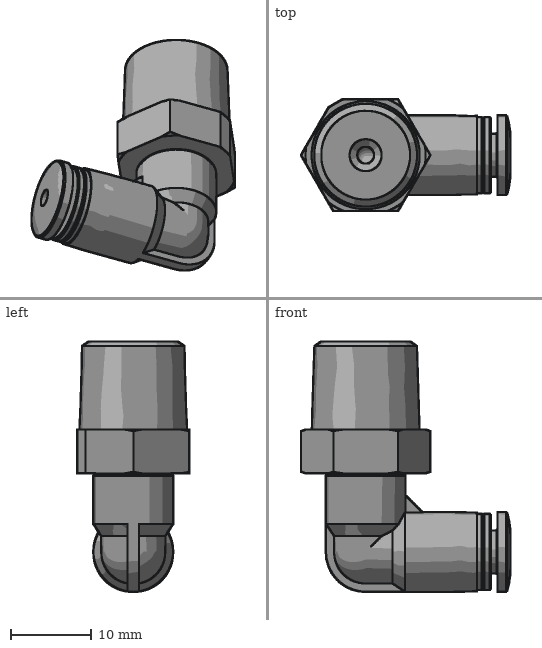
import cadquery as cq
import math


thread_top_z = 26.3
thread_length = 11.0
thread_base_z = thread_top_z - thread_length
thread_chamfer_height = 0.6
thread_top_radius = 5.55
thread_shoulder_radius = 6.42
thread_taper = 1 / 16
thread_base_radius = thread_shoulder_radius + (thread_length - thread_chamfer_height) * thread_taper / 2

hex_height = 5.5
hex_across_flats = 14.0
hex_across_corners = hex_across_flats / math.cos(math.pi / 6)
hex_base_z = thread_base_z - hex_height
hex_chamfer_radius = 7.5
hex_chamfer_angle = math.radians(20)
hex_flattened_corner_angle = 120.0
hex_flattened_corner_distance = 7.5

arm_radius = 10.0 / 2
collar_radius = 9.5 / 2
collar_chamfer = arm_radius - collar_radius
vertical_arm_end = 9.5
vertical_cone_start = 2.0
vertical_arm_start = 3.5
tube_cone_start = 3.37
tube_arm_start = 4.9
tube_arm_end = 10.9
bend_radius = 4.0
web_thickness = 1.4
gusset_leg_end = 7.07

sleeve_end_x = 13.9
sleeve_end_radius = 9.85 / 2
cap_radius = 9.55 / 2
cap_groove_x = 14.66
cap_groove_depth = 0.18
cap_end_x = 15.63
cap_chamfer = 0.18
button_neck_radius = 5.4 / 2
button_start_x = 16.44
button_neck_flare = 0.12
button_radius = 5.0
button_edge_start_x = 17.5
button_edge_chamfer = 0.2
button_end_x = 18.1
button_face_radius = 2.0

passage_radius = 2.1 / 2
countersink_radius = 4.0 / 2
countersink_depth = 0.7


def revolve_about_z(profile):
    """Revolve a closed (radius, z) profile about the Z axis."""
    return profile.close().revolve(360, (0, 0, 0), (0, 1, 0))


def revolve_about_x(profile):
    """Revolve a closed (x, radius) profile about the X axis."""
    return profile.close().revolve(360, (0, 0, 0), (1, 0, 0))


def make_thread():
    profile = (
        cq.Workplane("XZ")
        .moveTo(0, thread_base_z)
        .lineTo(thread_base_radius, thread_base_z)
        .lineTo(thread_shoulder_radius, thread_top_z - thread_chamfer_height)
        .lineTo(thread_top_radius, thread_top_z)
        .lineTo(0, thread_top_z)
    )
    return revolve_about_z(profile)


def make_hexagon():
    prism = (
        cq.Workplane("XY", origin=(0, 0, hex_base_z))
        .polygon(6, hex_across_corners)
        .extrude(hex_height)
    )
    corner_radius = hex_across_corners / 2
    chamfer_drop = (corner_radius - hex_chamfer_radius) * math.tan(hex_chamfer_angle)
    chamfered_disc = revolve_about_z(
        cq.Workplane("XZ")
        .moveTo(0, hex_base_z)
        .lineTo(hex_chamfer_radius, hex_base_z)
        .lineTo(corner_radius, hex_base_z + chamfer_drop)
        .lineTo(corner_radius, thread_base_z - chamfer_drop)
        .lineTo(hex_chamfer_radius, thread_base_z)
        .lineTo(0, thread_base_z)
    )
    corner_cutter = (
        cq.Workplane("XY", origin=(0, 0, hex_base_z))
        .center(hex_flattened_corner_distance + corner_radius / 2, 0)
        .rect(corner_radius, hex_across_flats)
        .extrude(hex_height)
        .rotate((0, 0, 0), (0, 0, 1), hex_flattened_corner_angle)
    )
    return prism.intersect(chamfered_disc).cut(corner_cutter)


def make_vertical_collar():
    profile = (
        cq.Workplane("XZ")
        .moveTo(0, vertical_arm_end)
        .lineTo(arm_radius, vertical_arm_end)
        .lineTo(collar_radius, vertical_arm_end + collar_chamfer)
        .lineTo(collar_radius, hex_base_z)
        .lineTo(0, hex_base_z)
    )
    return revolve_about_z(profile)


def make_tube_end():
    groove_bottom_radius = cap_radius - cap_groove_depth
    profile = (
        cq.Workplane("XZ")
        .moveTo(tube_arm_end, 0)
        .lineTo(tube_arm_end, arm_radius)
        .lineTo(sleeve_end_x, sleeve_end_radius)
        .lineTo(sleeve_end_x, cap_radius)
        .lineTo(cap_groove_x - cap_groove_depth, cap_radius)
        .lineTo(cap_groove_x, groove_bottom_radius)
        .lineTo(cap_groove_x + cap_groove_depth, cap_radius)
        .lineTo(cap_end_x - cap_chamfer, cap_radius)
        .lineTo(cap_end_x, cap_radius - cap_chamfer)
        .lineTo(cap_end_x, 0)
    )
    return revolve_about_x(profile)


def make_release_button():
    dome_edge_radius = button_radius - button_edge_chamfer
    dome_edge_x = button_edge_start_x + button_edge_chamfer
    dome_height = button_end_x - dome_edge_x
    dome_width = dome_edge_radius - button_face_radius
    dome_middle = (dome_edge_x + 0.75 * dome_height, dome_edge_radius - dome_width / 2)
    profile = (
        cq.Workplane("XZ")
        .moveTo(cap_end_x, 0)
        .lineTo(cap_end_x, button_neck_radius)
        .lineTo(button_start_x - button_neck_flare, button_neck_radius)
        .lineTo(button_start_x, button_neck_radius + button_neck_flare)
        .lineTo(button_start_x, button_radius)
        .lineTo(button_edge_start_x, button_radius)
        .lineTo(dome_edge_x, dome_edge_radius)
        .threePointArc(dome_middle, (button_end_x, button_face_radius))
        .lineTo(button_end_x, 0)
    )
    return revolve_about_x(profile)


def make_arm(cone_start, arm_start, arm_end):
    """Arm along +Z from the bend: slim core with a shoulder cone, and a central web at full radius."""
    overrun = 2
    cone_end = cone_start + overrun * (arm_start - cone_start)
    core = revolve_about_z(
        cq.Workplane("XZ")
        .lineTo(bend_radius, 0)
        .lineTo(bend_radius, cone_start)
        .lineTo(bend_radius + overrun * (arm_radius - bend_radius), cone_end)
        .lineTo(0, cone_end)
    )
    arm = cq.Workplane("XY").circle(arm_radius).extrude(arm_end)
    for side in (-1, 1):
        relief = (
            cq.Workplane("XY")
            .center(0, side * (web_thickness / 2 + arm_radius))
            .rect(4 * arm_radius, 2 * arm_radius)
            .extrude(arm_start)
            .cut(core)
        )
        arm = arm.cut(relief)
    return arm


def make_bend_ball():
    """Ball closing the bend, with the web running around it."""
    ball = cq.Workplane("XY").sphere(bend_radius)
    web_slab = cq.Workplane("XY").box(4 * arm_radius, web_thickness, 4 * arm_radius)
    return cq.Workplane("XY").sphere(arm_radius).intersect(web_slab).union(ball)


def make_gusset():
    """Triangular rib filling the inside corner between the arms."""
    return (
        cq.Workplane("XZ")
        .moveTo(bend_radius, bend_radius)
        .lineTo(gusset_leg_end, bend_radius)
        .lineTo(gusset_leg_end, arm_radius)
        .lineTo(arm_radius, gusset_leg_end)
        .lineTo(bend_radius, gusset_leg_end)
        .close()
        .extrude(web_thickness / 2, both=True)
    )


def make_passage():
    """Bore along both arms with a rounded outer corner, countersunk at the thread end."""
    countersink = revolve_about_z(
        cq.Workplane("XZ")
        .moveTo(0, thread_top_z - countersink_depth)
        .lineTo(passage_radius, thread_top_z - countersink_depth)
        .lineTo(countersink_radius, thread_top_z)
        .lineTo(0, thread_top_z)
    )
    vertical_bore = cq.Workplane("XY").circle(passage_radius).extrude(thread_top_z)
    tube_bore = cq.Workplane("YZ").circle(passage_radius).extrude(button_end_x)
    ball = cq.Workplane("XY").sphere(passage_radius)
    return vertical_bore.union(tube_bore).union(ball).union(countersink)


vertical_arm = make_arm(vertical_cone_start, vertical_arm_start, vertical_arm_end)
tube_arm = make_arm(tube_cone_start, tube_arm_start, tube_arm_end).rotate((0, 0, 0), (0, 1, 0), 90)
body = vertical_arm.union(tube_arm)
for feature in (
    make_bend_ball(),
    make_gusset(),
    make_vertical_collar(),
    make_hexagon(),
    make_thread(),
    make_tube_end(),
    make_release_button(),
):
    body = body.union(feature)

result = body.cut(make_passage()).solids()